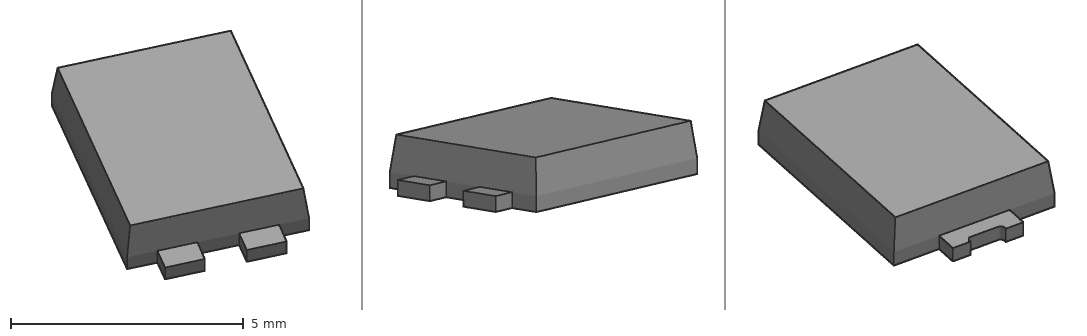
import cadquery as cq

total_length = 6.5
body_width = 4.1
total_height = 1.17

body_length = 5.4
base_height = 0.35
cap_inset = 0.1
cap_height = total_height - base_height

lead_reach = (total_length - body_length) / 2
lead_height = base_height
wide_lead_width = 1.8
narrow_lead_width = 0.9
narrow_lead_pitch = 1.84

notch_depth = 0.15
notch_width = 0.9
notch_corner_radius = 0.1


def make_body():
    """Rectangular base topped by a cap whose four sides lean inwards."""
    base = cq.Workplane("XY").box(body_length, body_width, base_height, centered=(True, True, False))
    cap = (
        cq.Workplane("XY", origin=(0, 0, base_height))
        .rect(body_length, body_width)
        .workplane(offset=cap_height)
        .rect(body_length - 2 * cap_inset, body_width - 2 * cap_inset)
        .loft(ruled=True)
    )
    return base.union(cap)


def make_lead(side, center_y, width):
    """Plain lead on the -X (side = -1) or +X (side = 1) end of the body."""
    center_x = side * (body_length + lead_reach) / 2
    return (
        cq.Workplane("XY", origin=(center_x, center_y, 0))
        .box(lead_reach, width, lead_height, centered=(True, True, False))
    )


def make_notch():
    """Cutter for the wide lead, rounded at its two inner corners."""
    return (
        cq.Workplane("XY", origin=(-total_length / 2 + notch_depth / 2, 0, 0))
        .box(notch_depth, notch_width, lead_height, centered=(True, True, False))
        .edges("|Z and >X")
        .fillet(notch_corner_radius)
    )


wide_lead = make_lead(-1, 0, wide_lead_width).cut(make_notch())

result = make_body().union(wide_lead)
for y_side in (-1, 1):
    result = result.union(make_lead(1, y_side * narrow_lead_pitch / 2, narrow_lead_width))